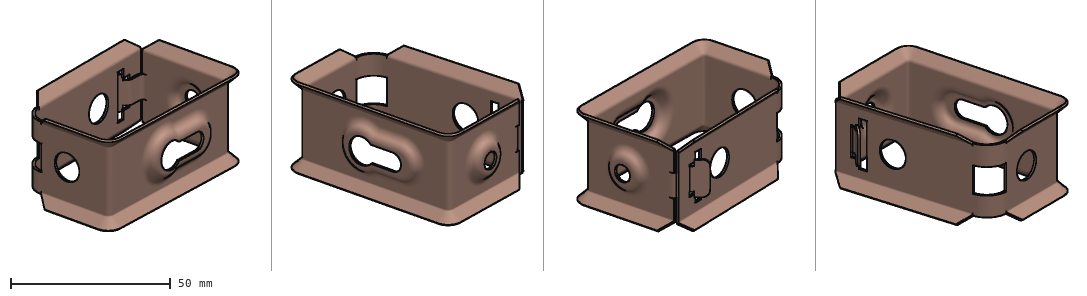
import cadquery as cq
import math


sheet = 0.85
ring_length = 59.95
ring_half = ring_length / 2
corner_inner_radius = 1.0
corner_radius = corner_inner_radius + sheet
hinge_radius = 7.7
hinge_center_x = -27.45
hinge_strip_half_height = 12.65
latch_wall_tilt = 2.1
latch_wall_length = 52.55
latch_wall_sweep = 90.0 - latch_wall_tilt
back_wall_end_x = -35.1

height = 32.1
flare_angle = 45.0
flare_reach = 3.3
flare_bend_radius = 0.65
mitre_run = 4.0
flare_cos = math.cos(math.radians(flare_angle))
flare_sin = math.sin(math.radians(flare_angle))
flare_length = (flare_reach - flare_bend_radius * (1 - flare_cos)) / flare_sin
flare_start_z = height / 2 - sheet * flare_sin - flare_length * flare_cos - flare_bend_radius * flare_sin

hinge_window_height = 10.0
access_hole_diameter = 10.0
hole_pair_x = -17.05
access_hole_from_hinge = 30.65
hook_slot_from_hinge = 40.5
hook_slot_length = 3.05
hook_slot_height = 17.7
neck_slot_end_from_hinge = 46.6
neck_slot_height = 11.3

hook_outer_x = -35.8
hook_bend_radius = 1.45
hook_bend_y = 24.0
hook_angle = 45.0
neck_height = 8.85
neck_length = 1.25
head_length = 5.0
head_height = 13.05
head_corner_radius = 2.45

dish_depth = 3.0
dish_rim_radius = 4.0
dish_floor_radius = 2.0
dish_sweep = math.acos(1 - dish_depth / (dish_rim_radius + dish_floor_radius))
dish_flank = (dish_rim_radius + dish_floor_radius) * math.sin(dish_sweep)
round_floor = 4.0
round_hole_diameter = 6.0
keyhole_small_floor = 4.0
keyhole_large_floor = 5.45
keyhole_small_y = 11.65
keyhole_large_y = -3.5
keyhole_fillet = 0.65
keyhole_hole_y = -2.7
keyhole_slot_y = 9.7
keyhole_slot_width = 6.65
keyhole_hole_diameter = 10.0


def rim_section():
    """Upper half of the wall with its flared rim, in a plane across the wall. The wall faces -Y."""
    bend_outer = flare_bend_radius
    bend_inner = flare_bend_radius + sheet
    bend_y = -flare_bend_radius

    def on_bend(radius, angle):
        a = math.radians(angle)
        return bend_y + radius * math.cos(a), flare_start_z + radius * math.sin(a)

    def on_tip(radius):
        y, z = on_bend(radius, flare_angle)
        return y - flare_length * flare_sin, z + flare_length * flare_cos

    return (
        cq.Workplane("YZ")
        .moveTo(0, 0)
        .lineTo(*on_bend(bend_outer, 0))
        .threePointArc(on_bend(bend_outer, flare_angle / 2), on_bend(bend_outer, flare_angle))
        .lineTo(*on_tip(bend_outer))
        .lineTo(*on_tip(bend_inner))
        .lineTo(*on_bend(bend_inner, flare_angle))
        .threePointArc(on_bend(bend_inner, flare_angle / 2), on_bend(bend_inner, 0))
        .lineTo(sheet, 0)
        .close()
    )


def mitre_cutter(x, direction):
    """Wedge that slants the end of a flare at x; direction points from the end into the wall."""
    bend_end_y = -flare_bend_radius * (1 - flare_cos)
    bend_end_z = flare_start_z + flare_bend_radius * flare_sin
    flare_plane = cq.Plane((x, bend_end_y, bend_end_z), (1, 0, 0), (0, -flare_cos, -flare_sin))
    return (
        cq.Workplane(flare_plane)
        .polyline([(0, 0), (direction * mitre_run, flare_length), (0, flare_length)])
        .close()
        .extrude(2 * sheet, both=True)
    )


def mirrored(upper):
    return upper.union(upper.mirror("XY"))


def wall(x_start, x_end, mitred_start=False, mitred_end=False):
    """Straight wall along X with its outer face at Y = 0, facing -Y."""
    upper = rim_section().extrude(x_end - x_start).translate((x_start, 0, 0))
    if mitred_start:
        upper = upper.cut(mitre_cutter(x_start, 1))
    if mitred_end:
        upper = upper.cut(mitre_cutter(x_end, -1))
    return mirrored(upper)


def corner():
    """Flared corner that continues a wall ending at the origin and turns it towards +Y."""
    return mirrored(rim_section().revolve(90, (corner_radius, 0), (corner_radius, 1)))


def hinge_corner():
    """Plain corner without a middle part, turning from the front wall to the latch wall."""
    strip_height = hinge_strip_half_height - hinge_window_height / 2
    upper = (
        cq.Workplane("YZ")
        .rect(sheet, strip_height, centered=False)
        .revolve(latch_wall_sweep, (hinge_radius, 0), (hinge_radius, -1))
        .translate((0, 0, hinge_window_height / 2))
    )
    return mirrored(upper).translate((hinge_center_x, -ring_half, 0))


def wall_cutter(sketch):
    """Cutter through a wall facing -Y from closed outlines drawn in XZ."""
    return sketch.extrude(2 * sheet, both=True)


def front_wall():
    length = -corner_radius - hinge_center_x
    hole = cq.Workplane("XZ").center(hole_pair_x - hinge_center_x, 0).circle(access_hole_diameter / 2)
    panel = wall(0, length, mitred_start=True).cut(wall_cutter(hole))
    return panel.union(corner().translate((length, 0, 0))).translate((hinge_center_x, -ring_half, 0))


def keyhole_wall():
    length = ring_length - 2 * corner_radius
    panel = wall(0, length).union(corner().translate((length, 0, 0)))
    shapes = [shape.rotate((0, 0, 0), (0, 0, 1), 180) for shape in keyhole_dish()]
    panel = pressed(panel, *shapes, keyhole_small_y + ring_half - corner_radius)
    return panel.rotate((0, 0, 0), (0, 0, 1), 90).translate((0, -ring_half + corner_radius, 0))


def back_wall():
    length = -corner_radius - back_wall_end_x
    panel = wall(0, length, mitred_end=True)
    panel = pressed(panel, *round_dish(), -corner_radius - hole_pair_x)
    return panel.rotate((0, 0, 0), (0, 0, 1), 180).translate((-corner_radius, ring_half, 0))


def latch_wall():
    """Leaning wall, drawn with its hinge end at the origin, with the T-shaped slot for the hook."""

    def slot(length, slot_height):
        return cq.Workplane("XZ").center(-hook_slot_from_hinge - length / 2, 0).rect(length, slot_height)

    hole = cq.Workplane("XZ").center(-access_hole_from_hinge, 0).circle(access_hole_diameter / 2)
    hook_slot = slot(hook_slot_length, hook_slot_height)
    neck_slot = slot(neck_slot_end_from_hinge - hook_slot_from_hinge, neck_slot_height)
    panel = wall(-latch_wall_length, 0, mitred_start=True, mitred_end=True)
    for outline in (hole, hook_slot, neck_slot):
        panel = panel.cut(wall_cutter(outline))
    tilt = math.radians(latch_wall_tilt)
    end_x = hinge_center_x - hinge_radius * math.cos(tilt)
    end_y = -ring_half + hinge_radius - hinge_radius * math.sin(tilt)
    return panel.rotate((0, 0, 0), (0, 0, 1), -latch_wall_sweep).translate((end_x, end_y, 0))


def hook():
    """Tongue bent off the back wall and out through the latch wall, ending in a wide head."""
    along_x = -math.sin(math.radians(hook_angle))
    along_y = -math.cos(math.radians(hook_angle))
    along = (along_x, along_y, 0)
    across = (-along_y, along_x, 0)
    wall_bend_x = hook_outer_x + sheet + hook_bend_radius
    wall_bend_y = ring_half - sheet - hook_bend_radius
    wall_bend_outer = hook_bend_radius + sheet
    tip_bend_x = hook_outer_x - hook_bend_radius

    def on_wall_bend(radius, angle):
        a = math.radians(angle)
        return wall_bend_x + radius * math.cos(a), wall_bend_y + radius * math.sin(a)

    def on_tip_bend(radius, angle):
        a = math.radians(angle)
        return tip_bend_x + radius * math.cos(a), hook_bend_y + radius * math.sin(a)

    def on_neck_end(radius):
        x, y = on_tip_bend(radius, -hook_angle)
        return x + neck_length * along_x, y + neck_length * along_y

    tip_inner = hook_bend_radius
    tip_outer = hook_bend_radius + sheet
    neck = (
        cq.Workplane("XY")
        .moveTo(*on_wall_bend(wall_bend_outer, 90))
        .threePointArc(on_wall_bend(wall_bend_outer, 135), on_wall_bend(wall_bend_outer, 180))
        .lineTo(*on_tip_bend(tip_inner, 0))
        .threePointArc(on_tip_bend(tip_inner, -hook_angle / 2), on_tip_bend(tip_inner, -hook_angle))
        .lineTo(*on_neck_end(tip_inner))
        .lineTo(*on_neck_end(tip_outer))
        .lineTo(*on_tip_bend(tip_outer, -hook_angle))
        .threePointArc(on_tip_bend(tip_outer, -hook_angle / 2), on_tip_bend(tip_outer, 0))
        .lineTo(*on_wall_bend(hook_bend_radius, 180))
        .threePointArc(on_wall_bend(hook_bend_radius, 135), on_wall_bend(hook_bend_radius, 90))
        .close()
        .extrude(neck_height / 2, both=True)
    )
    head_plane = cq.Plane((*on_neck_end(tip_inner), 0), along, across)
    head = (
        cq.Workplane(head_plane)
        .center(head_length / 2, 0)
        .rect(head_length, head_height)
        .extrude(sheet)
        .faces(cq.selectors.DirectionMinMaxSelector(cq.Vector(*along), True))
        .edges(cq.selectors.ParallelDirSelector(cq.Vector(*across)))
        .fillet(head_corner_radius)
    )
    return neck.union(head)


def hook_notch():
    """Room in the end of the back wall where the hook bends away."""
    notch_length = hook_outer_x + sheet + hook_bend_radius - back_wall_end_x
    notch = cq.Workplane("XY").box(2 * notch_length, 4 * sheet, neck_height)
    return notch.translate((back_wall_end_x, ring_half, 0))


def flank_section(floor, inward=1):
    """Section of a dish flank: across from the dish centre, up along the push direction.

    The wall's inner face is at 0 and the dish is pushed towards +. With inward = -1 the
    section is mirrored, so that the given distance is measured from outside the dish.
    """
    rim = floor + inward * dish_flank

    def rim_arc(radius, angle):
        return rim - inward * radius * math.sin(angle), dish_rim_radius - radius * math.cos(angle)

    def floor_arc(radius, angle):
        up = dish_depth - dish_floor_radius + radius * math.cos(angle)
        return floor + inward * radius * math.sin(angle), up

    rim_in = dish_rim_radius
    rim_out = dish_rim_radius - sheet
    floor_in = dish_floor_radius
    floor_out = dish_floor_radius + sheet
    half = dish_sweep / 2
    return (
        cq.Workplane("XZ")
        .moveTo(*rim_arc(rim_in, 0))
        .threePointArc(rim_arc(rim_in, half), rim_arc(rim_in, dish_sweep))
        .threePointArc(floor_arc(floor_in, half), floor_arc(floor_in, 0))
        .lineTo(*floor_arc(floor_out, 0))
        .threePointArc(floor_arc(floor_out, half), floor_arc(floor_out, dish_sweep))
        .threePointArc(rim_arc(rim_out, half), rim_arc(rim_out, 0))
        .close()
    )


def dish_sector(floor, start_angle, sweep_angle, inward=1):
    """Part of a dish flank turned about the vertical axis through the origin."""
    sector = flank_section(floor, inward).revolve(sweep_angle, (0, 0), (0, 1))
    return sector.rotate((0, 0, 0), (0, 0, 1), start_angle)


def pressed(panel, dish, opening, hole, wall_x):
    """Panel facing -Y with the opening replaced by a dish pushed outwards, and the hole cut in its floor.

    The three shapes lie in XY with the inner face of the sheet at Z = 0.
    """

    def on_wall(shape):
        return shape.rotate((0, 0, 0), (1, 0, 0), 90).translate((wall_x, sheet, 0))

    return panel.cut(on_wall(opening)).union(on_wall(dish)).cut(on_wall(hole))


def plate(outline, bottom):
    return outline.extrude(sheet).translate((0, 0, bottom))


def round_dish():
    floor = plate(cq.Workplane("XY").circle(round_floor), dish_depth)
    dish = floor.union(dish_sector(round_floor, 0, 360))
    opening = plate(cq.Workplane("XY").circle(round_floor + dish_flank), 0)
    hole = plate(cq.Workplane("XY").circle(round_hole_diameter / 2), dish_depth)
    return dish, opening, hole


def keyhole_dish():
    """Keyhole dish with the centre of its small end at the origin and its large end towards +X."""
    length = keyhole_small_y - keyhole_large_y
    small_rim = keyhole_small_floor + dish_flank
    large_rim = keyhole_large_floor + dish_flank
    fillet_y = small_rim + keyhole_fillet
    fillet_offset = math.sqrt((large_rim + keyhole_fillet) ** 2 - fillet_y**2)
    fillet_x = length - fillet_offset
    fillet_angle = math.degrees(math.atan2(fillet_offset, fillet_y))

    def outline(offset):
        """Closed keyhole at a distance outside the edge of the dish floor."""
        small = keyhole_small_floor + offset
        large = keyhole_large_floor + offset
        fillet = keyhole_fillet + dish_flank - offset

        def on_fillet(angle, side):
            a = math.radians(angle)
            return fillet_x + fillet * math.sin(a), side * (fillet_y - fillet * math.cos(a))

        return (
            cq.Workplane("XY")
            .moveTo(fillet_x, -small)
            .lineTo(0, -small)
            .threePointArc((-small, 0), (0, small))
            .lineTo(fillet_x, small)
            .threePointArc(on_fillet(fillet_angle / 2, 1), on_fillet(fillet_angle, 1))
            .threePointArc((length + large, 0), on_fillet(fillet_angle, -1))
            .threePointArc(on_fillet(fillet_angle / 2, -1), (fillet_x, -small))
            .close()
        )

    straight = flank_section(keyhole_small_floor).extrude(fillet_x).rotate((0, 0, 0), (0, 0, 1), 90)
    fillet = dish_sector(keyhole_fillet + dish_flank, -90, fillet_angle, inward=-1)
    side = straight.union(fillet.translate((fillet_x, fillet_y, 0)))
    large_start = 90 + fillet_angle
    large_end = dish_sector(keyhole_large_floor, -large_start, 2 * large_start).translate((length, 0, 0))
    dish = plate(outline(0), dish_depth)
    for part in (dish_sector(keyhole_small_floor, 90, 180), side, side.mirror("XZ"), large_end):
        dish = dish.union(part)

    slot_start = keyhole_small_y - keyhole_slot_y
    hole_x = keyhole_small_y - keyhole_hole_y
    slot_length = hole_x - slot_start
    slot_center = cq.Workplane("XY").center(slot_start + slot_length / 2, 0)
    slot = slot_center.slot2D(slot_length + keyhole_slot_width, keyhole_slot_width)
    round_end = cq.Workplane("XY").center(hole_x, 0).circle(keyhole_hole_diameter / 2)
    hole = plate(slot, dish_depth).union(plate(round_end, dish_depth))
    return dish, plate(outline(dish_flank), 0), hole


result = front_wall()
for part in (keyhole_wall(), back_wall().cut(hook_notch()), hook(), hinge_corner(), latch_wall()):
    result = result.union(part)
result = result.clean()